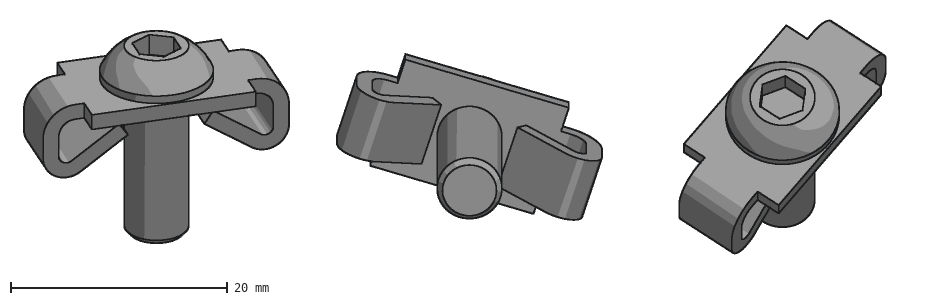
import cadquery as cq
import math


clip_length = 23.8
plate_width = 10.95
plate_length = 15.85
leg_width = 6.1
thickness = 1.52
upper_bend_radius = 3.1
lower_bend_radius = 2.3
lower_bend_depth = 5.16
arm_length = 5.57
arm_angle = math.radians(34.4)

shank_radius = 3.0
shank_length = 16.0
tip_radius = 2.5
tip_height = 0.57
head_radius = 5.25
head_height = 3.28
rim_height = 0.75
head_flat_radius = shank_radius
socket_across_flats = 4.0
socket_depth = 2.07


def make_leg():
    """Spring leg at the +Y end, a constant-thickness strip bent twice."""
    start_y = plate_length / 2
    end_y = clip_length / 2
    upper_y = end_y - upper_bend_radius
    upper_z = -upper_bend_radius
    lower_y = end_y - lower_bend_radius
    lower_z = -lower_bend_depth

    def upper_point(radius, angle):
        return (upper_y + radius * math.cos(angle), upper_z + radius * math.sin(angle))

    def lower_point(radius, angle):
        return (lower_y + radius * math.cos(angle), lower_z + radius * math.sin(angle))

    def arm_tip(radius):
        y, z = lower_point(radius, bend_end)
        return (y - arm_length * math.cos(arm_angle), z + arm_length * math.sin(arm_angle))

    upper_inner = upper_bend_radius - thickness
    lower_inner = lower_bend_radius - thickness
    quarter = math.pi / 2
    bend_end = -quarter - arm_angle

    return (
        cq.Workplane("YZ")
        .moveTo(start_y, 0)
        .lineTo(*upper_point(upper_bend_radius, quarter))
        .threePointArc(upper_point(upper_bend_radius, quarter / 2), upper_point(upper_bend_radius, 0))
        .lineTo(*lower_point(lower_bend_radius, 0))
        .threePointArc(lower_point(lower_bend_radius, bend_end / 2), lower_point(lower_bend_radius, bend_end))
        .lineTo(*arm_tip(lower_bend_radius))
        .lineTo(*arm_tip(lower_inner))
        .lineTo(*lower_point(lower_inner, bend_end))
        .threePointArc(lower_point(lower_inner, bend_end / 2), lower_point(lower_inner, 0))
        .lineTo(*upper_point(upper_inner, 0))
        .threePointArc(upper_point(upper_inner, quarter / 2), upper_point(upper_inner, quarter))
        .lineTo(start_y, -thickness)
        .close()
        .extrude(leg_width / 2, both=True)
    )


def make_clip():
    """Plate with a leg at each end and a hole that fits the shank."""
    plate = cq.Workplane("XY").rect(plate_width, plate_length).extrude(-thickness)
    leg = make_leg()
    hole = cq.Workplane("XY").circle(shank_radius).extrude(-thickness)
    return plate.union(leg).union(leg.mirror("XZ")).cut(hole)


def make_screw():
    """Revolved screw whose domed head is part of a sphere centred on the axis."""
    dome_centre_z = (
        (head_flat_radius**2 + head_height**2 - head_radius**2 - rim_height**2)
        / (2 * (head_height - rim_height))
    )
    dome_radius = math.hypot(head_radius, rim_height - dome_centre_z)
    dome_middle_r = (head_radius + head_flat_radius) / 2
    dome_middle_z = dome_centre_z + math.sqrt(dome_radius**2 - dome_middle_r**2)

    body = (
        cq.Workplane("XZ")
        .moveTo(0, -shank_length)
        .lineTo(tip_radius, -shank_length)
        .lineTo(shank_radius, tip_height - shank_length)
        .lineTo(shank_radius, 0)
        .lineTo(head_radius, 0)
        .lineTo(head_radius, rim_height)
        .threePointArc((dome_middle_r, dome_middle_z), (head_flat_radius, head_height))
        .lineTo(0, head_height)
        .close()
        .revolve(360, (0, 0, 0), (0, 1, 0))
    )
    socket_across_corners = socket_across_flats / math.cos(math.pi / 6)
    socket = (
        cq.Workplane("XY", origin=(0, 0, head_height))
        .polygon(6, socket_across_corners)
        .extrude(-socket_depth)
    )
    return body.cut(socket)


clip = make_clip()
screw = make_screw()

result = cq.Compound.makeCompound([clip.val(), screw.val()])